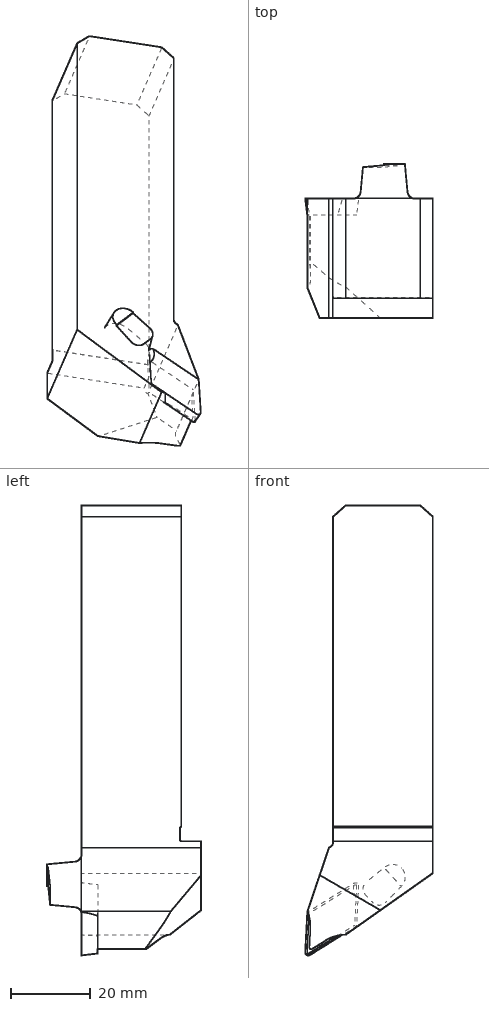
import cadquery as cq
import math


TOTAL_HEIGHT = 112.7
SHANK_SIZE = 25.0
TOP_CHAMFER_WIDTH = 3.2
TOP_CHAMFER_DROP = 2.8

HEAD_DEPTH = 30.0
LEDGE_Z = 28.6
RELIEF_TOP_Z = 32.3
RELIEF_DEPTH = 0.3
SHOULDER_TOP_Z = 28.4
SHOULDER_EDGE = (-26.0, 27.0)
FLANK_EDGE = (-31.4, 11.0)
RIGHT_CORNER_Z = 20.6
UNDERSIDE_EDGE = (-21.9, 5.2)
SEAT_SIDE_TOP_Z = 7.3
SEAT_BOTTOM_END_X = -26.1
SEAT_SETBACK = 1.0
SEAT_CORNER_RADIUS = 0.5
SEAT_RUNOUT_RADIUS = 9.0
BEVEL_EDGE = (-28.4, 20.2)
BEVEL_SLOPE = 30.0
BEVEL_ANGLE = 39.0
BEVEL_SPAN = 67.6

TIP_X = -32.0
NOSE_RADIUS = 0.8
SIDE_EDGE_ANGLE = 87.0
LOWER_EDGE_ANGLE = 32.0
SIDE_EDGE_LENGTH = 11.6
LOWER_EDGE_LENGTH = 15.2
INSERT_THICKNESS = 4.0
INSERT_CLEARANCE = 7.0

BOSS_HEIGHT = 8.7
BOSS_TAPER = 5.4
BOSS_FILLET = 1.8
POST_CENTER = (-10.1, 19.7)
POST_TIP_RADIUS = 3.2
TOE_CENTERS = [(-15.3, 16.8), (-13.5, 14.9)]
TOE_TIP_RADIUS = 2.1
TOE_STEP = 0.3
TOE_SLOPE = 4.0

SELECTION_MARGIN = 0.1


def direction(angle):
    """Unit vector in the XZ plane at an angle in degrees from +X."""
    return math.cos(math.radians(angle)), math.sin(math.radians(angle))


def along(point, angle, distance):
    """Point reached from `point` by a distance at an angle in the XZ plane."""
    dx, dz = direction(angle)
    return point[0] + distance * dx, point[1] + distance * dz


HALF_POINT_ANGLE = (SIDE_EDGE_ANGLE - LOWER_EDGE_ANGLE) / 2
POINT_AXIS_ANGLE = LOWER_EDGE_ANGLE + HALF_POINT_ANGLE


def corner_distance(setback):
    """Distance from the sharp insert point to the point set back equally from both cutting edges."""
    return setback / math.sin(math.radians(HALF_POINT_ANGLE))


NOSE_CENTER = (TIP_X + NOSE_RADIUS, NOSE_RADIUS)
SHARP_POINT = along(NOSE_CENTER, POINT_AXIS_ANGLE, -corner_distance(NOSE_RADIUS))


def make_insert():
    """Parallelogram cutting insert with rounded corners and tapered flanks."""
    inset = 2 * NOSE_RADIUS / math.sin(math.radians(SIDE_EDGE_ANGLE - LOWER_EDGE_ANGLE))
    side_center = along(NOSE_CENTER, SIDE_EDGE_ANGLE, SIDE_EDGE_LENGTH - inset)
    lower_center = along(NOSE_CENTER, LOWER_EDGE_ANGLE, LOWER_EDGE_LENGTH - inset)
    far_center = along(lower_center, SIDE_EDGE_ANGLE, SIDE_EDGE_LENGTH - inset)
    return (
        cq.Workplane("XZ")
        .polyline([NOSE_CENTER, lower_center, far_center, side_center])
        .close()
        .offset2D(NOSE_RADIUS)
        .extrude(INSERT_THICKNESS, taper=INSERT_CLEARANCE)
    )


def make_shank():
    """Square bar with two chamfered top edges and a shallow relief above the ledge."""
    chamfer_z = TOTAL_HEIGHT - TOP_CHAMFER_DROP
    bar = (
        cq.Workplane("XZ")
        .moveTo(0, LEDGE_Z)
        .lineTo(0, chamfer_z)
        .lineTo(-TOP_CHAMFER_WIDTH, TOTAL_HEIGHT)
        .lineTo(TOP_CHAMFER_WIDTH - SHANK_SIZE, TOTAL_HEIGHT)
        .lineTo(-SHANK_SIZE, chamfer_z)
        .lineTo(-SHANK_SIZE, LEDGE_Z)
        .close()
        .extrude(SHANK_SIZE)
    )
    relief_y = RELIEF_DEPTH - SHANK_SIZE
    relief = (
        cq.Workplane("YZ")
        .moveTo(-SHANK_SIZE, LEDGE_Z)
        .radiusArc((relief_y, LEDGE_Z + RELIEF_DEPTH), -RELIEF_DEPTH)
        .lineTo(relief_y, RELIEF_TOP_Z - RELIEF_DEPTH)
        .lineTo(-SHANK_SIZE, RELIEF_TOP_Z)
        .close()
        .extrude(-SHANK_SIZE)
    )
    return bar.cut(relief)


def make_head():
    """Angled head whose lower left end supports the insert, with a bevelled tip."""
    seat_corner = along(SHARP_POINT, POINT_AXIS_ANGLE, corner_distance(SEAT_SETBACK))
    side_wall_height = SEAT_SIDE_TOP_Z - seat_corner[1]
    side_wall_end = along(seat_corner, SIDE_EDGE_ANGLE, side_wall_height / direction(SIDE_EDGE_ANGLE)[1])
    lower_wall_width = SEAT_BOTTOM_END_X - seat_corner[0]
    lower_wall_end = along(seat_corner, LOWER_EDGE_ANGLE, lower_wall_width / direction(LOWER_EDGE_ANGLE)[0])
    shoulder_top = (-SHANK_SIZE, SHOULDER_TOP_Z)
    shoulder_width = shoulder_top[0] - SHOULDER_EDGE[0]
    shoulder_drop = shoulder_top[1] - SHOULDER_EDGE[1]
    shoulder_radius = (shoulder_width**2 + shoulder_drop**2) / (2 * shoulder_width)

    head = (
        cq.Workplane("XZ")
        .moveTo(0, LEDGE_Z)
        .lineTo(0, RIGHT_CORNER_Z)
        .lineTo(*UNDERSIDE_EDGE)
        .radiusArc(lower_wall_end, -SEAT_RUNOUT_RADIUS)
        .lineTo(*seat_corner)
        .lineTo(*side_wall_end)
        .radiusArc(FLANK_EDGE, -SEAT_RUNOUT_RADIUS)
        .lineTo(*SHOULDER_EDGE)
        .radiusArc(shoulder_top, -shoulder_radius)
        .lineTo(-SHANK_SIZE, LEDGE_Z)
        .close()
        .extrude(HEAD_DEPTH)
    )
    seat_edge = cq.selectors.NearestToPointSelector((seat_corner[0], -HEAD_DEPTH / 2, seat_corner[1]))
    head = head.edges("|Y").edges(seat_edge).fillet(SEAT_CORNER_RADIUS)
    return head.cut(make_bevel_wedge())


def make_bevel_wedge():
    """Wedge that bevels the front of the head towards the tip."""
    edge_x, edge_z = direction(-BEVEL_SLOPE)
    tip_x, tip_z = direction(-BEVEL_SLOPE - 90)
    plane = cq.Plane(
        origin=(BEVEL_EDGE[0], -HEAD_DEPTH, BEVEL_EDGE[1]),
        xDir=(tip_x, 0, tip_z),
        normal=(edge_x, 0, edge_z),
    )
    rise = BEVEL_SPAN * math.tan(math.radians(BEVEL_ANGLE))
    return (
        cq.Workplane(plane)
        .polyline([(0, 0), (BEVEL_SPAN, 0), (BEVEL_SPAN, rise)])
        .close()
        .extrude(BEVEL_SPAN, both=True)
    )


def hull_outline(workplane, circles):
    """Closed convex outline around circles (x, z, radius) listed counterclockwise."""
    sides = []
    for (x1, z1, r1), (x2, z2, r2) in zip(circles, circles[1:] + circles[:1]):
        heading = math.atan2(z2 - z1, x2 - x1)
        normal = heading - math.acos((r1 - r2) / math.hypot(x2 - x1, z2 - z1))
        nx, nz = math.cos(normal), math.sin(normal)
        sides.append(((x1 + r1 * nx, z1 + r1 * nz), (x2 + r2 * nx, z2 + r2 * nz), normal))

    outline = workplane.moveTo(*sides[0][0])
    for index, (_, end, normal) in enumerate(sides):
        next_start, _, next_normal = sides[(index + 1) % len(sides)]
        x, z, radius = circles[(index + 1) % len(circles)]
        middle = normal + ((next_normal - normal) % (2 * math.pi)) / 2
        arc_middle = (x + radius * math.cos(middle), z + radius * math.sin(middle))
        outline = outline.lineTo(*end).threePointArc(arc_middle, next_start)
    return outline.close()


def make_boss():
    """Tapered clamp boss: a round post with a two-cornered toe towards the insert."""
    flare = BOSS_HEIGHT * math.tan(math.radians(BOSS_TAPER))
    tip_circles = [(*POST_CENTER, POST_TIP_RADIUS)] + [(*center, TOE_TIP_RADIUS) for center in TOE_CENTERS]
    base_circles = [(x, z, radius + flare) for x, z, radius in tip_circles]
    base = hull_outline(cq.Workplane("XZ"), base_circles)
    boss = hull_outline(base.workplane(offset=-BOSS_HEIGHT), tip_circles).loft(ruled=True)
    return boss.cut(make_toe_relief())


def make_toe_relief():
    """Wedge that lowers and tilts the end of the toe."""
    (x1, z1), (x2, z2) = TOE_CENTERS
    toe_x = (x1 + x2) / 2 - POST_CENTER[0]
    toe_z = (z1 + z2) / 2 - POST_CENTER[1]
    reach = 2 * math.hypot(toe_x, toe_z)
    plane = cq.Plane(
        origin=(POST_CENTER[0], BOSS_HEIGHT, POST_CENTER[1]),
        xDir=(toe_x, 0, toe_z),
        normal=(-toe_z, 0, toe_x),
    )
    drop = TOE_STEP + reach * math.tan(math.radians(TOE_SLOPE))
    return (
        cq.Workplane(plane)
        .polyline([(0, 0), (0, -TOE_STEP), (reach, -drop), (reach, 0)])
        .close()
        .extrude(reach, both=True)
    )


def make_holder(insert):
    """Shank, head and clamp boss in one piece, with a pocket matching the insert."""
    holder = make_shank().union(make_head()).union(make_boss())
    boss_root = cq.selectors.BoxSelector(
        (-SHANK_SIZE, -SELECTION_MARGIN, UNDERSIDE_EDGE[1]),
        (-SELECTION_MARGIN, SELECTION_MARGIN, SHOULDER_TOP_Z),
        boundingbox=True,
    )
    holder = holder.edges(boss_root).fillet(BOSS_FILLET)
    return holder.cut(insert).solids()


insert = make_insert()
holder = make_holder(insert)

result = cq.Compound.makeCompound([holder.val(), insert.val()])